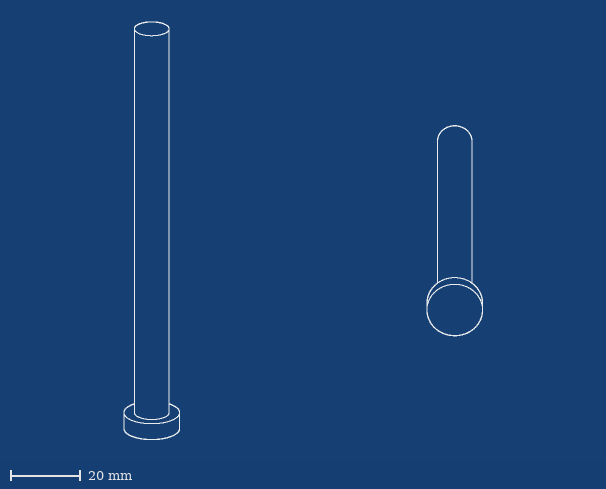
import cadquery as cq

total_length = 125.0
head_diameter = 16.0
head_thickness = 5.0
shaft_diameter = 10.0

head = cq.Workplane("XY").circle(head_diameter / 2).extrude(head_thickness)

shaft = cq.Workplane("XY").circle(shaft_diameter / 2).extrude(total_length)

result = head.union(shaft)